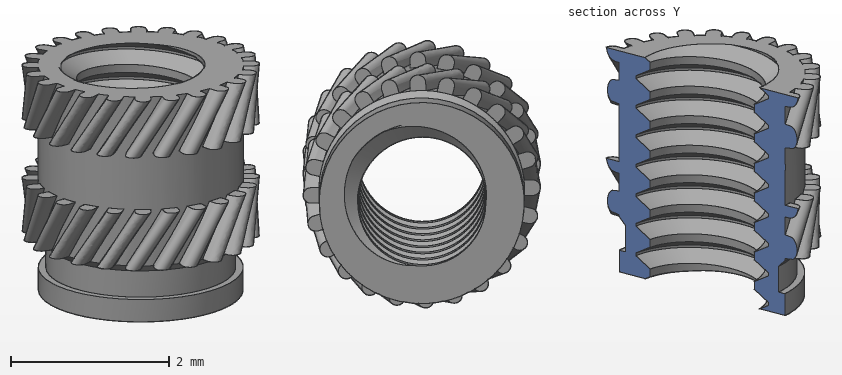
import cadquery as cq
import math

height = 3.0
knurl_diameter = 3.0

flange_diameter = 2.59
flange_height = 0.3
neck_diameter = 2.4
body_diameter = 2.6
band_height = height / 4
lower_band_bottom = band_height
upper_band_bottom = height - band_height
cone_height = (body_diameter - neck_diameter) / 2

tooth_count = 24
tooth_width = 0.2
tooth_twist = 20.0
tooth_root_radius = 1.2

minor_diameter = 1.62
major_diameter = 2.07
pitch = 0.4
root_flat = pitch / 12
flank_angle = 30.0
crest_overlap = 0.03
groove_top_angle = -90.0


def make_body():
    """Revolve the stepped outside: flange, neck, cone and main barrel."""
    flange_radius = flange_diameter / 2
    neck_radius = neck_diameter / 2
    body_radius = body_diameter / 2
    outline = (
        cq.Workplane("XZ")
        .moveTo(0, 0)
        .lineTo(flange_radius, 0)
        .lineTo(flange_radius, flange_height)
        .lineTo(neck_radius, flange_height)
        .lineTo(neck_radius, lower_band_bottom - cone_height)
        .lineTo(body_radius, lower_band_bottom)
        .lineTo(body_radius, height)
        .lineTo(0, height)
        .close()
    )
    return outline.revolve(360, (0, 0, 0), (0, 1, 0))


def tooth_section(angle, z):
    """Round-tipped tooth outline at a height z, pointing out at an angle."""
    half_width = tooth_width / 2
    tip_radius = knurl_diameter / 2
    shoulder_radius = tip_radius - half_width
    section = (
        cq.Workplane("XY")
        .moveTo(tooth_root_radius, -half_width)
        .lineTo(shoulder_radius, -half_width)
        .threePointArc((tip_radius, 0), (shoulder_radius, half_width))
        .lineTo(tooth_root_radius, half_width)
        .close()
        .val()
    )
    axis_start = cq.Vector(0, 0, 0)
    axis_end = cq.Vector(0, 0, 1)
    return section.rotate(axis_start, axis_end, angle).translate(cq.Vector(0, 0, z))


def make_knurl_band():
    """Upper knurled ring: a disc with slanted teeth ruled between their end outlines."""
    bottom = upper_band_bottom
    teeth = []
    for index in range(tooth_count):
        top_angle = index * 360 / tooth_count
        bottom_section = tooth_section(top_angle - tooth_twist, bottom)
        top_section = tooth_section(top_angle, bottom + band_height)
        teeth.append(cq.Solid.makeLoft([bottom_section, top_section], True))
    disc = cq.Workplane("XY").workplane(offset=bottom).circle(body_diameter / 2).extrude(band_height)
    return cq.Workplane(disc.val().fuse(*teeth).clean())


def make_thread_groove():
    """Helical trapezoid cutter, joined from single turns, that runs out past both end faces."""
    groove_radius = major_diameter / 2
    inner_radius = minor_diameter / 2 - crest_overlap
    half_root = root_flat / 2
    half_mouth = half_root + (groove_radius - inner_radius) * math.tan(math.radians(flank_angle))
    start_z = -pitch
    turn_count = math.ceil(height / pitch) + 1
    single_turn = cq.Wire.makeHelix(pitch, pitch, groove_radius)
    turns = [
        single_turn.translate(cq.Vector(0, 0, start_z + index * pitch))
        for index in range(turn_count)
    ]
    helix = cq.Wire.combine(turns)[0]
    groove = (
        cq.Workplane("XZ")
        .moveTo(inner_radius, start_z - half_mouth)
        .lineTo(groove_radius, start_z - half_root)
        .lineTo(groove_radius, start_z + half_root)
        .lineTo(inner_radius, start_z + half_mouth)
        .close()
        .sweep(cq.Workplane(helix), isFrenet=True)
    )
    unturned_top_angle = 360 * (height - start_z) / pitch
    return groove.rotate((0, 0, 0), (0, 0, 1), groove_top_angle - unturned_top_angle)


def make_bore():
    """Cylinder at the thread's minor diameter, one pitch longer at each end."""
    return (
        cq.Workplane("XY")
        .workplane(offset=-pitch)
        .circle(minor_diameter / 2)
        .extrude(height + 2 * pitch)
    )


upper_band = make_knurl_band()
lower_band = upper_band.translate((0, 0, lower_band_bottom - upper_band_bottom))
knurled_blank = make_body().union(upper_band).union(lower_band)

result = knurled_blank.cut(make_thread_groove()).cut(make_bore())